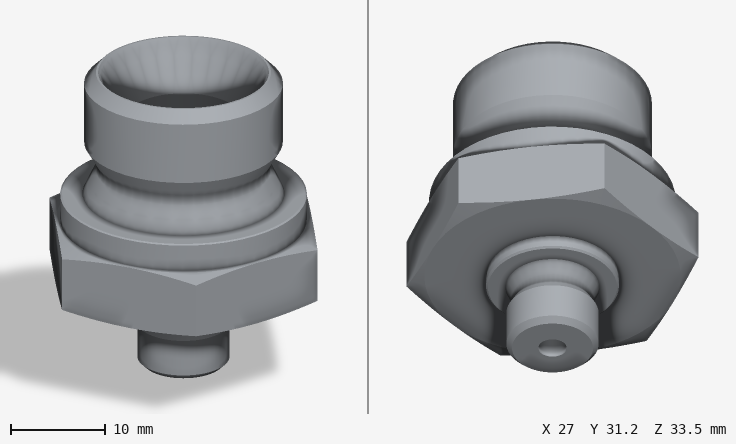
import cadquery as cq
import math


total_height = 33.5
small_thread_top = 4.6
collar_bottom = 8.0
collar_height = 1.5
hex_bottom = collar_bottom + collar_height
hex_height = 7.0
hex_top = hex_bottom + hex_height
flange_height = 3.0
flange_top = hex_top + flange_height
large_thread_length = 8.0
large_thread_bottom = total_height - large_thread_length

small_thread_radius = 9.73 / 2
small_thread_chamfer = 0.6
small_relief_collar_radius = 4.95
small_relief_fillet = 0.9
collar_radius = 14.0 / 2

hex_across_flats = 27.0
hex_across_corners = hex_across_flats / math.cos(math.radians(30))
hex_chamfer_angle = math.radians(15)
envelope_clearance = 1.0
flange_radius = 26.0 / 2
edge_break_width = 0.2
flange_edge_break_height = 0.1
collar_edge_break_height = 0.2

large_thread_radius = 20.95 / 2
large_thread_chamfer = 1.25
large_relief_collar_radius = 10.65
large_relief_fillet = 1.2

thread_flank_angle = math.radians(30)
collar_flank_angle = math.radians(25)

seat_mouth_radius = 9.0
bore_radius = 12.0 / 2
through_hole_radius = 3.0 / 2
seat_half_angle = math.radians(30)
seat_depth = (seat_mouth_radius - bore_radius) / math.tan(seat_half_angle)
bore_floor_half_angle = math.radians(59)
bore_end = 14.0
bore_floor_depth = (bore_radius - through_hole_radius) / math.tan(bore_floor_half_angle)


def revolve_profile(profile):
    """Close an (r, z) profile and turn it about the Z axis."""
    return profile.close().revolve(360, (0, 0, 0), (0, 1, 0))


def threaded_end(thread_radius, chamfer, end_z, thread_z, face_z,
                 face_radius, fillet, disc_radius, edge_break_height, hex_face_z):
    """Spigot with a chamfered tip and a rounded V relief groove, standing on a collar.

    The collar is the plain disc of disc_radius between face_z and hex_face_z.
    """
    toward_tip = math.copysign(1, end_z - face_z)
    thread_slope = math.tan(thread_flank_angle)
    collar_slope = math.tan(collar_flank_angle)

    groove_width = abs(thread_z - face_z)
    apex_offset = (thread_radius - face_radius + groove_width * collar_slope) / (thread_slope + collar_slope)
    apex_r = thread_radius - apex_offset * thread_slope
    apex_z = thread_z - toward_tip * apex_offset

    flank_turn = thread_flank_angle + collar_flank_angle
    tangent_length = fillet * math.tan(flank_turn / 2)
    thread_tangent = (
        apex_r + tangent_length * math.sin(thread_flank_angle),
        apex_z + toward_tip * tangent_length * math.cos(thread_flank_angle),
    )
    collar_tangent = (
        apex_r + tangent_length * math.sin(collar_flank_angle),
        apex_z - toward_tip * tangent_length * math.cos(collar_flank_angle),
    )

    profile = (
        cq.Workplane("XZ")
        .moveTo(0, end_z)
        .lineTo(thread_radius - chamfer, end_z)
        .lineTo(thread_radius, end_z - toward_tip * chamfer)
        .lineTo(thread_radius, thread_z)
        .lineTo(*thread_tangent)
        .radiusArc(collar_tangent, -toward_tip * fillet)
        .lineTo(face_radius, face_z)
        .lineTo(disc_radius - edge_break_width, face_z)
        .lineTo(disc_radius, face_z - toward_tip * edge_break_height)
        .lineTo(disc_radius, hex_face_z)
        .lineTo(0, hex_face_z)
    )
    return revolve_profile(profile)


def hexagon():
    """Hexagon with corners on the Y axis, its corners turned off conically at both faces."""
    prism = (
        cq.Workplane("XY")
        .workplane(offset=hex_bottom)
        .polygon(6, hex_across_corners)
        .extrude(hex_height)
        .rotate((0, 0, 0), (0, 0, 1), 30)
    )
    flat_radius = hex_across_flats / 2
    corner_radius = hex_across_corners / 2
    envelope_radius = corner_radius + envelope_clearance
    chamfer_drop = (envelope_radius - flat_radius) * math.tan(hex_chamfer_angle)
    envelope = revolve_profile(
        cq.Workplane("XZ")
        .moveTo(0, hex_bottom)
        .lineTo(flat_radius, hex_bottom)
        .lineTo(envelope_radius, hex_bottom + chamfer_drop)
        .lineTo(envelope_radius, hex_top - chamfer_drop)
        .lineTo(flat_radius, hex_top)
        .lineTo(0, hex_top)
    )
    return prism.intersect(envelope)


def passage():
    """Conical seat, bore with a conical floor, and the through hole."""
    return revolve_profile(
        cq.Workplane("XZ")
        .moveTo(0, 0)
        .lineTo(through_hole_radius, 0)
        .lineTo(through_hole_radius, bore_end - bore_floor_depth)
        .lineTo(bore_radius, bore_end)
        .lineTo(bore_radius, total_height - seat_depth)
        .lineTo(seat_mouth_radius, total_height)
        .lineTo(0, total_height)
    )


large_end = threaded_end(
    large_thread_radius, large_thread_chamfer, total_height, large_thread_bottom, flange_top,
    large_relief_collar_radius, large_relief_fillet, flange_radius,
    flange_edge_break_height, hex_top,
)
small_end = threaded_end(
    small_thread_radius, small_thread_chamfer, 0, small_thread_top, collar_bottom,
    small_relief_collar_radius, small_relief_fillet, collar_radius,
    collar_edge_break_height, hex_bottom,
)

result = hexagon().union(large_end).union(small_end).cut(passage())